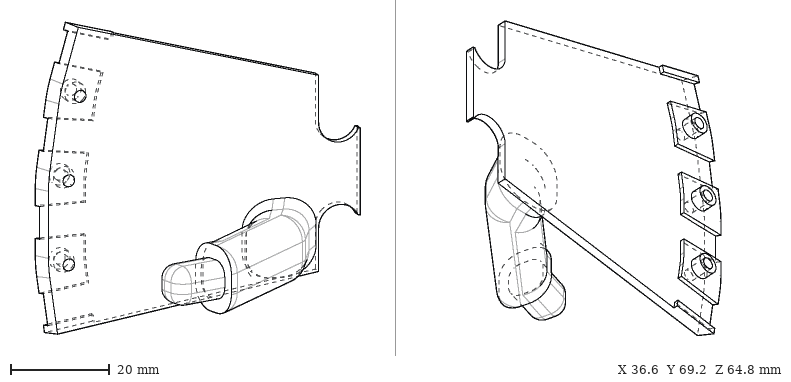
import cadquery as cq
import math


length = 69.15
plate_thickness = 2.0
pad_thickness = 1.0

facet_angle = 8.0
rim_apothem = 132.5
rim_corner_radius = 31.8
rim_bevel_angle = 31.0
first_facet, last_facet = -1, 2
half_facet = facet_angle / 2
corner_angles = [facet_angle * i + half_facet for i in range(first_facet, last_facet)]

pad_depth = 10.5
gap_width = 6.85
end_pad_width = 1.6
side_offset = gap_width / 2 + end_pad_width

pin_diameter = 4.5
pin_hole_diameter = 2.5
pin_height = 2.55
pin_ring_radius = 126.6

neck_center_z = 5.0
neck_half_width = 9.1
neck_length = 9.0
notch_radius = neck_length / 2
notch_center_offset = 11.05
shoulder_y = length - neck_length

arm_z = -7.4
arm_height = 14.2
arm_round_radius = 5.0
arm_bend_radius = 5.2
arm_start_x = 5.9
arm_start_outer_y = 56.6
arm_start_inner_y = 43.1
outer_bends = [(13.2, 53.05), (32.65, 30.7)]
inner_bends = [(20.55, 28.35), (8.65, 41.85)]
arm_end_angle = 74.0
arm_end_center = (26.75, 28.2)

foot_growth = 1.25
foot_shift = 1.7

peg_width = 8.1
peg_corner_radius = 3.0
peg_length = 11.35

peg_overlap = 0.35
round_slack = 0.01


def ring_point(radius, angle, side=0.0):
    """(Y, Z) at a radius and angle on the ring, moved sideways toward larger angles."""
    a = math.radians(angle)
    y = rim_apothem - radius * math.cos(a) + side * math.sin(a)
    z = radius * math.sin(a) + side * math.cos(a)
    return y, z


def rim_profile(inset, start_x):
    """Wedge from the ring centre to the faceted rim, with an arc at each facet corner."""
    apothem = rim_apothem - inset
    radius = rim_corner_radius - inset
    corner_distance = apothem / math.cos(math.radians(half_facet))
    arc_center_distance = corner_distance - radius / math.cos(math.radians(half_facet))
    angles = [corner_angles[0] - facet_angle, *corner_angles, corner_angles[-1] + facet_angle]
    profile = cq.Workplane("YZ", origin=(start_x, 0, 0)).moveTo(rim_apothem, 0)
    profile = profile.lineTo(*ring_point(corner_distance, angles[0] - facet_angle))
    for angle in angles:
        center_y, center_z = ring_point(arc_center_distance, angle)
        start, middle, end = [
            (center_y - radius * math.cos(math.radians(a)), center_z + radius * math.sin(math.radians(a)))
            for a in (angle - half_facet, angle, angle + half_facet)
        ]
        profile = profile.lineTo(*start).threePointArc(middle, end)
    profile = profile.lineTo(*ring_point(corner_distance, angles[-1] + facet_angle))
    return profile.close()


def side_edge(facet, side):
    """Shoulder and outer end of a straight plate side, parallel to the facet's radius."""
    angle = facet * facet_angle
    a = math.radians(angle)
    shoulder_radius = (rim_apothem - shoulder_y + side * math.sin(a)) / math.cos(a)
    return ring_point(shoulder_radius, angle, side), ring_point(rim_apothem + pad_depth, angle, side)


def make_plate():
    """Plate with raised pads along the bevelled rim and a waisted neck at the far end."""
    total = plate_thickness + pad_thickness
    low_shoulder, low_end = side_edge(first_facet, -side_offset)
    high_shoulder, high_end = side_edge(last_facet, side_offset)
    blank = cq.Workplane("YZ", origin=(-pad_thickness, 0, 0))
    sector = blank.polyline([low_shoulder, low_end, high_end, high_shoulder]).close().extrude(total)
    sector = sector.intersect(rim_profile(0, -pad_thickness).extrude(total, taper=rim_bevel_angle))

    sector = sector.cut(rim_profile(pad_depth, -pad_thickness).extrude(pad_thickness))
    for facet in range(first_facet, last_facet + 1):
        gap_y, gap_z = ring_point(rim_apothem, facet * facet_angle)
        gap = (
            cq.Workplane("XY")
            .box(pad_thickness, 3 * pad_depth, gap_width)
            .rotate((0, 0, 0), (1, 0, 0), -facet * facet_angle)
            .translate((-pad_thickness / 2, gap_y, gap_z))
        )
        sector = sector.cut(gap)

    neck = (
        cq.Workplane("YZ")
        .center(shoulder_y + neck_length / 2, neck_center_z)
        .rect(neck_length, 2 * notch_center_offset)
        .extrude(plate_thickness)
    )
    for side in (-1, 1):
        outside = (
            cq.Workplane("YZ")
            .center(length - notch_radius / 2, neck_center_z + side * 2 * neck_half_width)
            .rect(notch_radius, 2 * neck_half_width)
            .extrude(plate_thickness)
        )
        notch = (
            cq.Workplane("YZ")
            .center(length - notch_radius, neck_center_z + side * notch_center_offset)
            .circle(notch_radius)
            .extrude(plate_thickness)
        )
        neck = neck.cut(notch).cut(outside)
    return sector.union(neck)


def add_pins(plate):
    """One hollow pin per pad, with its hole running through the plate."""
    centers = [ring_point(pin_ring_radius, angle) for angle in corner_angles]
    face = cq.Workplane("YZ", origin=(-pad_thickness - pin_height, 0, 0)).pushPoints(centers)
    pins = face.circle(pin_diameter / 2).extrude(pin_height)
    holes = face.circle(pin_hole_diameter / 2).extrude(pin_height + pad_thickness + plate_thickness)
    return plate.union(pins).cut(holes)


def arm_section(x, y, width, height, corner_y, corner_z):
    """Closed outline across X with elliptical corners."""
    flat_y = width / 2 - corner_y
    flat_z = height / 2 - corner_z
    outline = cq.Workplane("YZ", origin=(x, y, arm_z)).moveTo(width / 2, -flat_z)
    for start_angle, sign_y, sign_z in ((0, 1, 1), (90, -1, 1), (180, -1, -1), (270, 1, -1)):
        a = math.radians(start_angle)
        start = (sign_y * flat_y + corner_y * math.cos(a), sign_z * flat_z + corner_z * math.sin(a))
        outline = outline.lineTo(*start).ellipseArc(corner_y, corner_z, start_angle, start_angle + 90, sense=1)
    return outline.close().val()


def make_foot():
    """Flare from the start of the arm to the plate."""
    width = arm_start_outer_y - arm_start_inner_y
    center_y = (arm_start_outer_y + arm_start_inner_y) / 2
    slope = math.atan2(arm_start_outer_y - outer_bends[0][1], outer_bends[0][0] - arm_start_x)
    corner_y = arm_round_radius / math.cos(slope)
    narrow = arm_section(arm_start_x, center_y, width, arm_height, corner_y, arm_round_radius)
    wide = arm_section(
        plate_thickness,
        center_y + foot_shift,
        width + 2 * foot_growth,
        arm_height + 2 * foot_growth,
        corner_y + foot_growth,
        arm_round_radius + foot_growth,
    )
    return cq.Workplane(cq.Solid.makeLoft([wide, narrow], True))


def arm_end_plane():
    """Plane of the flat arm end, facing away from the arm; its local y is Z."""
    a = math.radians(arm_end_angle)
    return cq.Plane(
        origin=(*arm_end_center, arm_z),
        xDir=(math.sin(a), math.cos(a), 0),
        normal=(math.cos(a), -math.sin(a), 0),
    )


def make_bent_arm():
    """Rounded arm from the foot to its flat end."""
    a = math.radians(arm_end_angle)
    reach_x = arm_height * math.cos(a)
    reach_y = -arm_height * math.sin(a)
    last_outer = (outer_bends[-1][0] + reach_x, outer_bends[-1][1] + reach_y)
    last_inner = (inner_bends[0][0] + reach_x, inner_bends[0][1] + reach_y)
    outline = [
        (arm_start_x, arm_start_outer_y),
        *outer_bends,
        last_outer,
        last_inner,
        *inner_bends,
        (arm_start_x, arm_start_inner_y),
    ]
    arm = (
        cq.Workplane("XY", origin=(0, 0, arm_z - arm_height / 2))
        .polyline(outline)
        .close()
        .extrude(arm_height)
    )
    for bend in outer_bends:
        arm = arm.edges(cq.selectors.NearestToPointSelector((*bend, arm_z))).fillet(arm_bend_radius)

    start_edges = cq.selectors.DirectionMinMaxSelector(cq.Vector(1, 0, 0), directionMax=False)
    end_edges = cq.selectors.DirectionMinMaxSelector(arm_end_plane().zDir)
    arm = arm.faces("<Z or >Z").edges(-(start_edges + end_edges)).fillet(arm_round_radius)

    beyond = cq.Workplane(arm_end_plane()).rect(2 * arm_height, 2 * arm_height).extrude(2 * arm_height)
    return arm.cut(beyond)


def make_peg():
    """Square peg with rounded edges and a rounded tip."""
    plane = arm_end_plane()
    axis = plane.zDir
    return (
        cq.Workplane(plane)
        .workplane(offset=-peg_overlap)
        .rect(peg_width, peg_width)
        .extrude(peg_length + peg_overlap)
        .edges(cq.selectors.ParallelDirSelector(axis))
        .fillet(peg_corner_radius)
        .faces(cq.selectors.DirectionMinMaxSelector(axis))
        .edges()
        .fillet(peg_corner_radius - round_slack)
    )


arm = make_bent_arm().union(make_foot()).union(make_peg())
result = add_pins(make_plate()).union(arm)